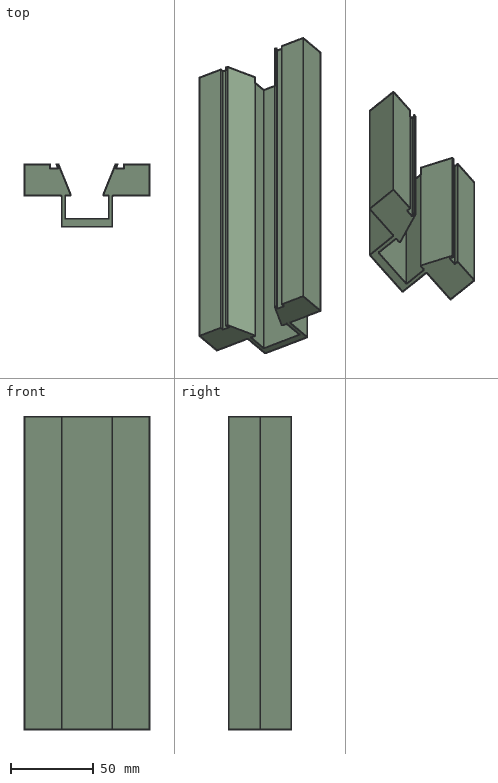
import cadquery as cq

WIDTH = 76.2
DEPTH = 38.1
LENGTH = 190.5

CHANNEL_HALF_WIDTH = 15.5
CHANNEL_WALL = 2.38
CHANNEL_WEB = 5.08
ROOT_FILLET = 0.4

FLANGE_DEPTH = DEPTH / 2
THROAT_HALF_WIDTH = 9.6
MOUTH_HALF_WIDTH = 17.3
TIP_FILLET = 0.5

GROOVE_OUTER_X = 22.4
GROOVE_DEPTH = 2.4
LIP_THICKNESS = 1.3

half_width = WIDTH / 2
back_y = DEPTH / 2
front_y = -DEPTH / 2
flange_front_y = back_y - FLANGE_DEPTH
channel_floor_y = front_y + CHANNEL_WEB
channel_inner_x = CHANNEL_HALF_WIDTH - CHANNEL_WALL
groove_floor_y = back_y - GROOVE_DEPTH
slope = (MOUTH_HALF_WIDTH - THROAT_HALF_WIDTH) / FLANGE_DEPTH
groove_inner_x = MOUTH_HALF_WIDTH + LIP_THICKNESS


def make_profile():
    """Return the cross-section outline, symmetric about X = 0."""
    right_half = [
        (channel_inner_x, channel_floor_y),
        (channel_inner_x, flange_front_y),
        (THROAT_HALF_WIDTH, flange_front_y),
        (MOUTH_HALF_WIDTH, back_y),
        (groove_inner_x, back_y),
        (groove_inner_x - slope * GROOVE_DEPTH, groove_floor_y),
        (GROOVE_OUTER_X, groove_floor_y),
        (GROOVE_OUTER_X, back_y),
        (half_width, back_y),
        (half_width, flange_front_y),
        (CHANNEL_HALF_WIDTH, flange_front_y),
        (CHANNEL_HALF_WIDTH, front_y),
    ]
    left_half = [(-x, y) for x, y in reversed(right_half)]
    return right_half + left_half


def fillet_edge_pair(body, x, y, radius):
    """Round the two lengthwise edges at (x, y) and (-x, y)."""
    for edge_x in (x, -x):
        edge = cq.selectors.NearestToPointSelector((edge_x, y, LENGTH / 2))
        body = body.edges("|Z").edges(edge).fillet(radius)
    return body


result = cq.Workplane("XY").polyline(make_profile()).close().extrude(LENGTH)
result = fillet_edge_pair(result, CHANNEL_HALF_WIDTH, flange_front_y, ROOT_FILLET)
result = fillet_edge_pair(result, THROAT_HALF_WIDTH, flange_front_y, TIP_FILLET)